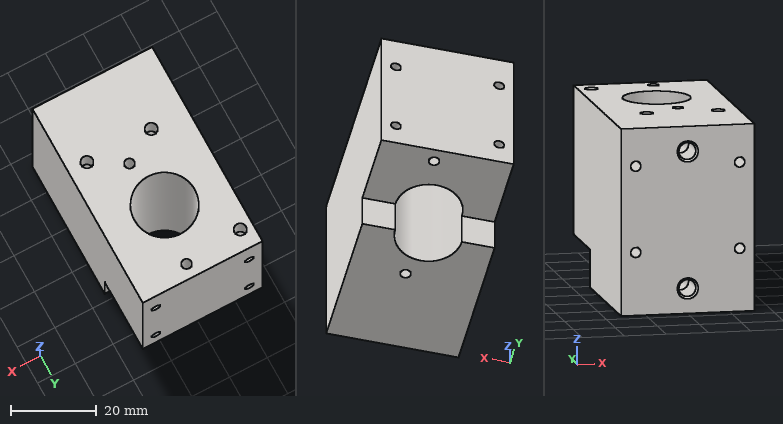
import cadquery as cq
import math

WIDTH = 31.75
LENGTH = 54.0
HEIGHT = 44.4
FRONT = -LENGTH / 2
BACK = LENGTH / 2
TOP = HEIGHT / 2
BOTTOM = -HEIGHT / 2

BORE_Y = 8.35
STEP_HEIGHT = 9.0

BORE_DIAMETER = 15.9
TOP_THROUGH_DIAMETER = 2.5
TOP_THROUGH_X = 2.4
TOP_THROUGH_YS = (23.5, -4.4)

DRILL_POINT_ANGLE = 118.0
TOP_BLIND_DIAMETER = 3.0
TOP_BLIND_DEPTH = 6.5
TOP_BLIND_POINTS = ((-12.65, 22.0), (-6.1, -9.45), (10.9, -9.45))

SIDE_THROUGH_DIAMETER = 2.4
SIDE_THROUGH_X = 12.35
SIDE_THROUGH_ZS = (13.2, -7.25)

FRONT_BLIND_DIAMETER = 4.0
FRONT_BLIND_DEPTH = 8.65
FRONT_BLIND_Z = 16.25
FRONT_MOUTH_DIAMETER = 4.95


def drilled_hole(mouth, direction, diameter, depth, mouth_diameter=None):
    """Blind hole with a conical drill point and an optional 45 degree chamfered mouth."""
    radius = diameter / 2
    point_depth = radius / math.tan(math.radians(DRILL_POINT_ANGLE / 2))
    mouth = cq.Vector(*mouth)
    direction = cq.Vector(*direction)
    barrel = cq.Solid.makeCylinder(radius, depth, mouth, direction)
    point = cq.Solid.makeCone(radius, 0, point_depth, mouth + direction * depth, direction)
    hole = cq.Workplane(barrel).union(cq.Workplane(point))
    if mouth_diameter:
        mouth_radius = mouth_diameter / 2
        chamfer = cq.Solid.makeCone(mouth_radius, radius, mouth_radius - radius, mouth, direction)
        hole = hole.union(cq.Workplane(chamfer))
    return hole


body = (
    cq.Workplane("YZ")
    .moveTo(FRONT, BOTTOM)
    .lineTo(BORE_Y, BOTTOM)
    .lineTo(BORE_Y, BOTTOM + STEP_HEIGHT)
    .lineTo(BACK, BOTTOM + STEP_HEIGHT)
    .lineTo(BACK, TOP)
    .lineTo(FRONT, TOP)
    .close()
    .extrude(WIDTH / 2, both=True)
)

vertical_holes = (
    cq.Workplane("XY", origin=(0, 0, BOTTOM))
    .pushPoints([(TOP_THROUGH_X, y) for y in TOP_THROUGH_YS])
    .circle(TOP_THROUGH_DIAMETER / 2)
    .extrude(HEIGHT)
)
bore = cq.Workplane("XY", origin=(0, BORE_Y, BOTTOM)).circle(BORE_DIAMETER / 2).extrude(HEIGHT)
body = body.cut(vertical_holes).cut(bore)

side_points = [(x, z) for x in (-SIDE_THROUGH_X, SIDE_THROUGH_X) for z in SIDE_THROUGH_ZS]
side_holes = (
    cq.Workplane("XZ", origin=(0, BACK, 0))
    .pushPoints(side_points)
    .circle(SIDE_THROUGH_DIAMETER / 2)
    .extrude(LENGTH)
)
body = body.cut(side_holes)

for x, y in TOP_BLIND_POINTS:
    body = body.cut(drilled_hole((x, y, TOP), (0, 0, -1), TOP_BLIND_DIAMETER, TOP_BLIND_DEPTH))

for z in (-FRONT_BLIND_Z, FRONT_BLIND_Z):
    body = body.cut(
        drilled_hole(
            (0, FRONT, z), (0, 1, 0), FRONT_BLIND_DIAMETER, FRONT_BLIND_DEPTH, FRONT_MOUTH_DIAMETER
        )
    )

result = body